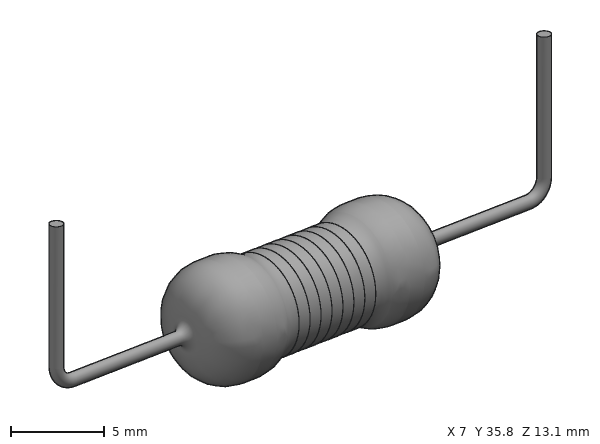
import cadquery as cq
import math


body_diameter = 7.0
body_half_length = 8.25
dome_radius = 2.45
cap_land_length = 1.02
core_diameter = 5.95
core_half_length = 2.75

band_diameter = 5.97
band_count = 4
band_gap_count = band_count - 1
band_width = 2 * core_half_length / (band_count + band_gap_count)
band_pitch = 2 * band_width

lead_diameter = 0.8
lead_spacing = 35.0
lead_height = 9.6
bend_radius = 1.15

body_radius = body_diameter / 2
core_radius = core_diameter / 2
lead_radius = lead_diameter / 2
lead_half_spacing = lead_spacing / 2
dome_centre_radius = body_radius - dome_radius
lead_fillet = dome_centre_radius - lead_radius

SIN_45 = math.sin(math.radians(45))


def disc(diameter, length, centre):
    """Solid cylinder along Y, centred at the given Y."""
    return (
        cq.Workplane("XZ", origin=(0, centre + length / 2, 0))
        .circle(diameter / 2)
        .extrude(length)
    )


def end_cap():
    """Revolved +Y end of the body: S-shaped shoulder, land, dome and lead flare."""
    dome_start = body_half_length - dome_radius
    land_start = dome_start - cap_land_length
    flare_end = body_half_length + lead_fillet

    shoulder_length = land_start - core_half_length
    shoulder_rise = body_radius - core_radius
    shoulder_radius = (shoulder_length**2 + shoulder_rise**2) / (4 * shoulder_rise)
    shoulder_middle = (
        (core_radius + body_radius) / 2,
        core_half_length + shoulder_length / 2,
    )
    quarter_angle = math.asin(shoulder_length / 2 / shoulder_radius) / 2
    arc_offset_along = shoulder_radius * math.sin(quarter_angle)
    arc_offset_radial = shoulder_radius * (1 - math.cos(quarter_angle))

    profile = (
        cq.Workplane("XY")
        .moveTo(0, core_half_length)
        .lineTo(core_radius, core_half_length)
        .threePointArc(
            (core_radius + arc_offset_radial, core_half_length + arc_offset_along),
            shoulder_middle,
        )
        .threePointArc(
            (body_radius - arc_offset_radial, land_start - arc_offset_along),
            (body_radius, land_start),
        )
        .lineTo(body_radius, dome_start)
        .threePointArc(
            (dome_centre_radius + dome_radius * SIN_45, dome_start + dome_radius * SIN_45),
            (dome_centre_radius, body_half_length),
        )
        .threePointArc(
            (dome_centre_radius - lead_fillet * SIN_45, flare_end - lead_fillet * SIN_45),
            (lead_radius, flare_end),
        )
        .lineTo(0, flare_end)
        .close()
    )
    return profile.revolve(360, (0, 0, 0), (0, 1, 0))


def lead():
    """Lead on the +Y side: straight along the axis, then bent up into a leg."""
    bend_start = lead_half_spacing - bend_radius
    path = (
        cq.Workplane("YZ")
        .lineTo(bend_start, 0)
        .threePointArc(
            (bend_start + bend_radius * SIN_45, bend_radius * (1 - SIN_45)),
            (lead_half_spacing, bend_radius),
        )
        .lineTo(lead_half_spacing, lead_height)
    )
    return cq.Workplane("XZ").circle(lead_radius).sweep(path)


core = disc(core_diameter, 2 * core_half_length, 0)
end = end_cap().union(lead())
result = core.union(end).union(end.mirror("XZ"))

first_band_centre = -band_pitch * (band_count - 1) / 2
for index in range(band_count):
    result = result.union(disc(band_diameter, band_width, first_band_centre + index * band_pitch))